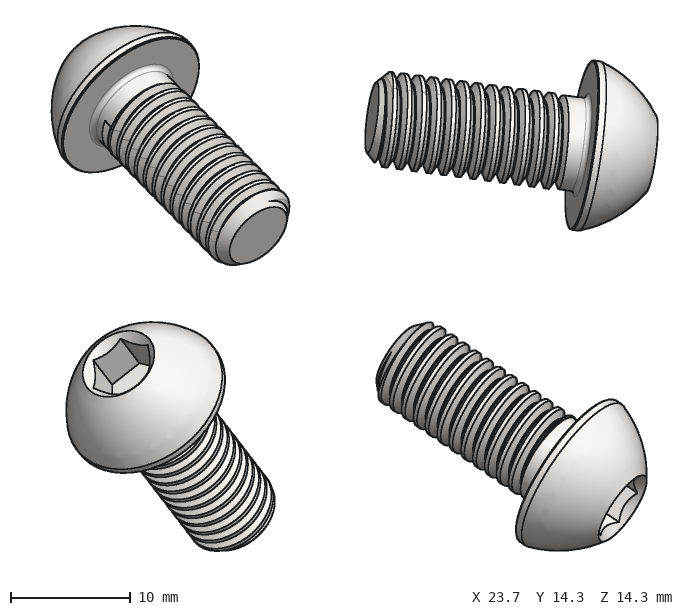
import cadquery as cq
import math


length = 23.7

head_diameter = 14.3
head_radius = head_diameter / 2
head_height = 5.85
rim_width = 0.69
rim_bevel = 0.1
dome_mouth_radius = 3.3
dome_middle = (2.6, 5.88)

hex_sides = 6
hex_across_flats = 5.02
hex_depth = 4.15
countersink_slope = 45.0

shank_radius = 3.93
neck_fillet = 0.43
thread_start = 7.96
tip_radius = 2.99

crest_radius = 4.0
root_radius = 3.35
full_turns = 12
full_turns_length = 15.03
pitch = full_turns_length / full_turns
root_flat = 0.12
thread_half_angle = 30.0
groove_start_middle = 7.45
groove_start_angle = 114.0
groove_overshoot = 0.12


def screw_blank():
    """Head, neck, plain shank and thread cylinder turned in one piece."""
    dome_end = head_height - rim_width
    tip_chamfer = crest_radius - tip_radius
    neck_end = head_height + neck_fillet
    fillet_middle = neck_fillet * (1 - math.sqrt(0.5))
    return (
        cq.Workplane("XY")
        .moveTo(0, 0)
        .lineTo(0, dome_mouth_radius)
        .threePointArc(dome_middle, (dome_end, head_radius))
        .lineTo(head_height - rim_bevel, head_radius)
        .lineTo(head_height, head_radius - rim_bevel)
        .lineTo(head_height, shank_radius + neck_fillet)
        .threePointArc(
            (head_height + fillet_middle, shank_radius + fillet_middle),
            (neck_end, shank_radius),
        )
        .lineTo(thread_start, shank_radius)
        .lineTo(thread_start, crest_radius)
        .lineTo(length - tip_chamfer, crest_radius)
        .lineTo(length, tip_radius)
        .lineTo(length, 0)
        .close()
        .revolve(360, (0, 0, 0), (1, 0, 0))
    )


def hex_socket():
    """Hexagonal hole with two corners on the Z direction."""
    corner_diameter = hex_across_flats / math.cos(math.pi / hex_sides)
    return (
        cq.Workplane("YZ")
        .transformed(rotate=(0, 0, 90))
        .polygon(hex_sides, corner_diameter)
        .extrude(hex_depth)
    )


def socket_countersink():
    """Cone that opens the socket out to the edge of the dome."""
    cone_depth = dome_mouth_radius / math.tan(math.radians(countersink_slope))
    return (
        cq.Workplane("XY")
        .polyline([(0, 0), (0, dome_mouth_radius), (cone_depth, 0)])
        .close()
        .revolve(360, (0, 0, 0), (1, 0, 0))
    )


def groove_turn(turn):
    """Right-hand V groove over one turn, made around Z and then laid along X."""
    cutter_radius = crest_radius + groove_overshoot
    root_half_width = root_flat / 2
    flank_rise = (cutter_radius - root_radius) * math.tan(math.radians(thread_half_angle))
    outer_half_width = root_half_width + flank_rise
    helix = cq.Wire.makeHelix(pitch, pitch, root_radius)
    groove = (
        cq.Workplane("XZ")
        .polyline([
            (root_radius, -root_half_width),
            (cutter_radius, -outer_half_width),
            (cutter_radius, outer_half_width),
            (root_radius, root_half_width),
        ])
        .close()
        .sweep(cq.Workplane(obj=helix), isFrenet=True)
    )
    return (
        groove
        .rotate((0, 0, 0), (0, 1, 0), 90)
        .rotate((0, 0, 0), (1, 0, 0), -groove_start_angle)
        .translate((groove_start_middle + turn * pitch, 0, 0))
    )


result = (
    screw_blank()
    .cut(hex_socket())
    .cut(socket_countersink())
)

for turn in range(full_turns + 1):
    result = result.cut(groove_turn(turn))